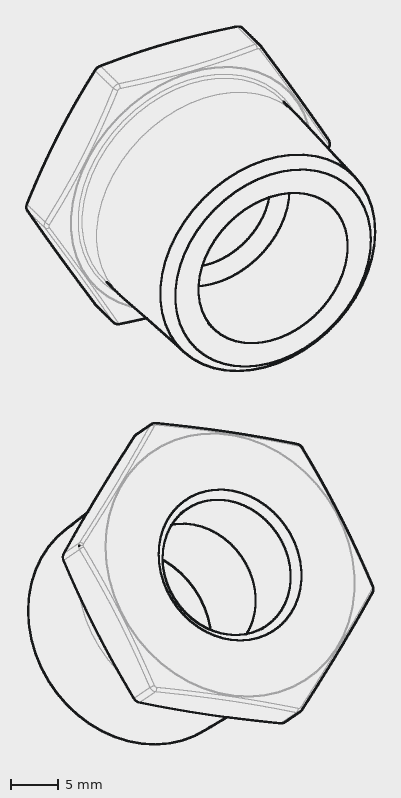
import cadquery as cq
import math

total_length = 24.0

head_length = 6.0
across_flats = 30.0
corner_radius = 0.75
face_diameter = 29.1
bevel_angle = 15
edge_radius = 0.45

collar_diameter = 26.75
collar_end = 9.5
taper_ratio = 1 / 16
tip_chamfer = 1.17
root_radius = 0.3

small_bore_diameter = 14.95
mouth_diameter = 16.68
large_bore_diameter = 18.0
small_bore_end = 9.63
step_angle = 45


def revolve_about_x(points):
    """Turn a closed (x, radius) outline about the X axis."""
    return cq.Workplane("XY").polyline(points).close().revolve(360, (0, 0, 0), (1, 0, 0))


def make_head():
    """Hexagonal prism with rounded corners, conical bevels and softened edges."""
    corner_distance = across_flats / 2 / math.cos(math.radians(30))
    prism = (
        cq.Workplane("YZ")
        .polygon(6, 2 * corner_distance)
        .extrude(head_length)
        .edges("|X")
        .fillet(corner_radius)
    )

    face_radius = face_diameter / 2
    bevel_depth = (corner_distance - face_radius) * math.tan(math.radians(bevel_angle))
    bevels = revolve_about_x([
        (0, 0),
        (0, face_radius),
        (bevel_depth, corner_distance),
        (head_length - bevel_depth, corner_distance),
        (head_length, face_radius),
        (head_length, 0),
    ])
    return prism.intersect(bevels).edges("not |X").fillet(edge_radius)


def make_shank():
    """Collar with a rounded root against the head, tapered body and chamfered tip."""
    collar_radius = collar_diameter / 2
    taper_end = total_length - tip_chamfer
    taper_end_radius = collar_radius - (taper_end - collar_end) * taper_ratio / 2
    root_end = head_length + root_radius
    root_mid = root_radius * (1 - math.sqrt(0.5))
    return (
        cq.Workplane("XY")
        .moveTo(head_length / 2, 0)
        .lineTo(head_length / 2, collar_radius + root_radius)
        .lineTo(head_length, collar_radius + root_radius)
        .threePointArc((head_length + root_mid, collar_radius + root_mid), (root_end, collar_radius))
        .lineTo(collar_end, collar_radius)
        .lineTo(taper_end, taper_end_radius)
        .lineTo(total_length, taper_end_radius - tip_chamfer)
        .lineTo(total_length, 0)
        .close()
        .revolve(360, (0, 0, 0), (1, 0, 0))
    )


def make_bore():
    """Through bore with a 45-degree mouth in the head and a wider far end."""
    small_radius = small_bore_diameter / 2
    mouth_radius = mouth_diameter / 2
    large_radius = large_bore_diameter / 2
    step_length = (large_radius - small_radius) / math.tan(math.radians(step_angle))
    return revolve_about_x([
        (0, 0),
        (0, mouth_radius),
        (mouth_radius - small_radius, small_radius),
        (small_bore_end, small_radius),
        (small_bore_end + step_length, large_radius),
        (total_length, large_radius),
        (total_length, 0),
    ])


result = make_head().union(make_shank()).cut(make_bore())